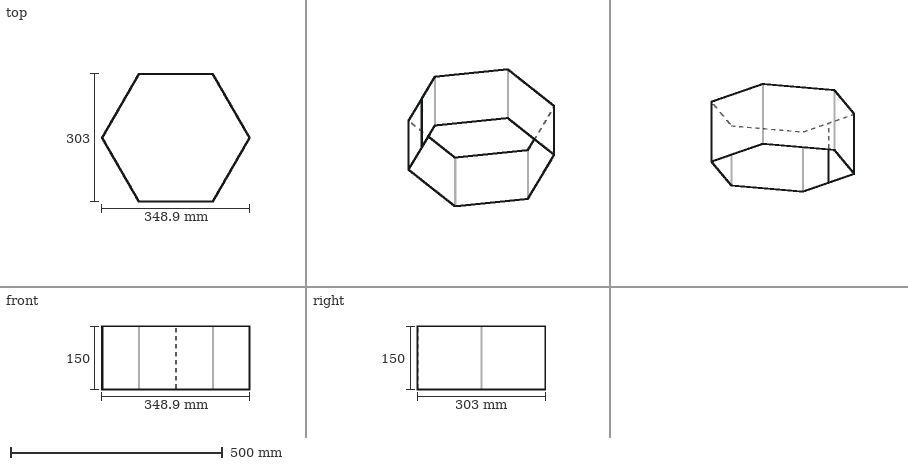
import cadquery as cq
import math

inner_across_flats = 300.0
thickness = 1.5
height = 150.0
inner_bend_radius = 1.5
seam_gap = 1.5
sides = 6

outer_across_flats = inner_across_flats + 2 * thickness
outer_bend_radius = inner_bend_radius + thickness


def rounded_hexagon(across_flats, corner_radius):
    """Hexagonal prism with corners on the X axis and rounded vertical edges."""
    across_corners = across_flats / math.cos(math.pi / sides)
    prism = cq.Workplane("XY").polygon(sides, across_corners).extrude(height)
    return prism.edges("|Z").fillet(corner_radius)


def seam_cutter():
    """Thin block spanning the +Y wall at X = 0."""
    wall_middle = (inner_across_flats + thickness) / 2
    block = cq.Workplane("XY").box(seam_gap, 2 * thickness, height, centered=(True, True, False))
    return block.translate((0, wall_middle, 0))


outer = rounded_hexagon(outer_across_flats, outer_bend_radius)
inner = rounded_hexagon(inner_across_flats, inner_bend_radius)
result = outer.cut(inner).cut(seam_cutter())